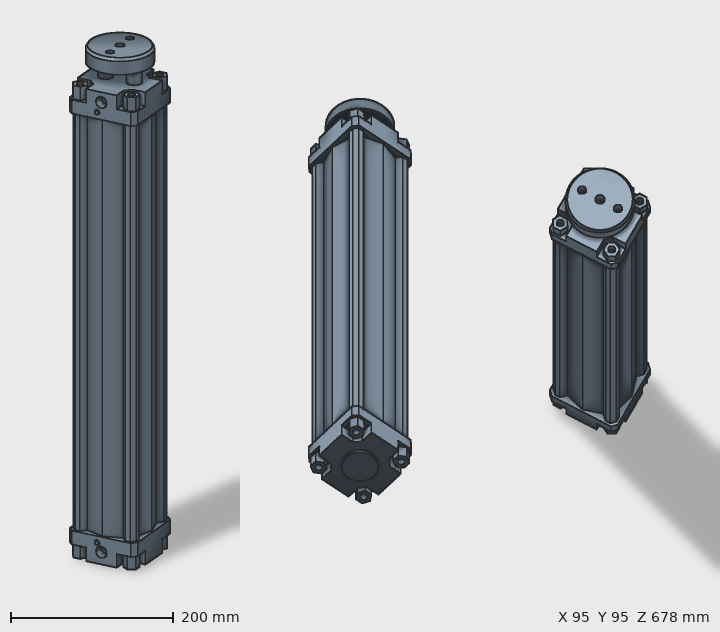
import cadquery as cq
import math

total_height = 678.0

plate_diameter = 85.0
plate_top_diameter = 80.0
plate_thickness = 22.0
plate_chamfer_height = 4.0
plate_center_hole_diameter = 11.5
plate_side_hole_diameter = 10.0
plate_side_hole_offset = 25.0
rod_diameter = 20.0
rod_spacing = 40.0
rod_length = 24.0

head_width = 95.0
head_height = 36.5
head_chamfer = 6.0
boss_diameter = 45.0
boss_height = 4.0

block_width = 43.0
pocket_depth = 18.0
pocket_inner_chamfer = 8.0
post_offset = 36.0
post_sides = 6
post_across_flats = 17.5
post_hole_diameter = 9.0
post_hole_depth = 13.5
drill_point_angle = 118.0

port_diameter = 15.0
port_depth = 13.5
top_port_inset = 13.5
bottom_port_inset = 16.0
screw_hole_diameter = 6.5
screw_hole_depth = 7.0
screw_hole_x = -6.0
screw_hole_inset = 28.0

tube_width = 88.0
ridge_width = 89.5
rib_chamfer = 5.5
rib_inner_edge = 32.0
groove_depth = 7.0

top_head_top = total_height - plate_thickness - rod_length
top_head_bottom = top_head_top - head_height
bottom_head_bottom = boss_height
bottom_head_top = bottom_head_bottom + head_height
head_half_width = head_width / 2
tube_half_width = tube_width / 2
quarter_turns = (0, 90, 180, 270)


def make_head_block(bottom):
    """Square head with chamfered corners, standing on the given level."""
    block = cq.Workplane("XY", origin=(0, 0, bottom)).rect(head_width, head_width).extrude(head_height)
    return block.edges("|Z").chamfer(head_chamfer)


def make_corner_pocket(bottom):
    """Corner pocket at -X -Y, with its inner corner cut off at 45 degrees."""
    inner = -block_width / 2
    outer = -head_half_width
    return (
        cq.Workplane("XY", origin=(0, 0, bottom))
        .moveTo(outer, outer)
        .lineTo(inner, outer)
        .lineTo(inner, inner - pocket_inner_chamfer)
        .lineTo(inner - pocket_inner_chamfer, inner)
        .lineTo(outer, inner)
        .close()
        .extrude(pocket_depth)
    )


def make_post(bottom):
    """Hexagonal post standing in the pocket at -X -Y."""
    across_corners = post_across_flats / math.cos(math.pi / post_sides)
    return (
        cq.Workplane("XY")
        .polygon(post_sides, across_corners)
        .extrude(pocket_depth)
        .translate((-post_offset, -post_offset, bottom))
    )


def make_post_hole(mouth, direction):
    """Drilled hole with a conical end; direction is +1 to drill upward and -1 downward."""
    radius = post_hole_diameter / 2
    point_height = radius / math.tan(math.radians(drill_point_angle / 2))
    return (
        cq.Workplane("XZ")
        .lineTo(radius, 0)
        .lineTo(radius, direction * post_hole_depth)
        .lineTo(0, direction * (post_hole_depth + point_height))
        .close()
        .revolve(360, (0, 0, 0), (0, 1, 0))
        .translate((-post_offset, -post_offset, mouth))
    )


def make_front_hole(diameter, depth, x, z):
    """Blind round hole going in from the -Y face of a head."""
    return (
        cq.Workplane("XZ", origin=(x, -head_half_width, z))
        .circle(diameter / 2)
        .extrude(-depth)
    )


def make_head(bottom, pocket_bottom, hole_mouth, hole_direction):
    """Head with four corner pockets, each holding a drilled hexagonal post."""
    head = make_head_block(bottom)
    pocket = make_corner_pocket(pocket_bottom)
    post = make_post(pocket_bottom)
    hole = make_post_hole(hole_mouth, hole_direction)
    for angle in quarter_turns:
        axis = ((0, 0, 0), (0, 0, 1), angle)
        head = head.cut(pocket.rotate(*axis))
        head = head.union(post.rotate(*axis))
        head = head.cut(hole.rotate(*axis))
    return head


def make_tube():
    """Solid profiled tube between the two heads."""
    groove_edge = rib_inner_edge - groove_depth
    groove_level = tube_half_width - groove_depth
    side = [
        (-tube_half_width + rib_chamfer, -tube_half_width),
        (-rib_inner_edge, -tube_half_width),
        (-groove_edge, -groove_level),
        (0, -ridge_width / 2),
        (groove_edge, -groove_level),
        (rib_inner_edge, -tube_half_width),
        (tube_half_width - rib_chamfer, -tube_half_width),
    ]
    outline = []
    for angle in quarter_turns:
        cosine = round(math.cos(math.radians(angle)))
        sine = round(math.sin(math.radians(angle)))
        outline += [(x * cosine - y * sine, x * sine + y * cosine) for x, y in side]
    tube = cq.Workplane("XY", origin=(0, 0, bottom_head_top)).polyline(outline).close()
    return tube.extrude(top_head_bottom - bottom_head_top)


def make_housing():
    """Tube, both heads and the round boss under the bottom head."""
    top_head = make_head(top_head_bottom, top_head_top - pocket_depth, top_head_top, -1)
    bottom_head = make_head(bottom_head_bottom, bottom_head_bottom, bottom_head_bottom, 1)
    boss = cq.Workplane("XY").circle(boss_diameter / 2).extrude(boss_height)
    body = make_tube().union(top_head).union(bottom_head).union(boss)
    port_levels = (top_head_top - top_port_inset, bottom_head_bottom + bottom_port_inset)
    for level in port_levels:
        body = body.cut(make_front_hole(port_diameter, port_depth, 0, level))
    screw_levels = (top_head_top - screw_hole_inset, bottom_head_bottom + screw_hole_inset)
    for level in screw_levels:
        body = body.cut(make_front_hole(screw_hole_diameter, screw_hole_depth, screw_hole_x, level))
    return body


def make_piston():
    """Chamfered end plate with three through holes, carried by two rods."""
    plate_bottom = total_height - plate_thickness
    plate = (
        cq.Workplane("XZ")
        .moveTo(0, plate_bottom)
        .lineTo(plate_diameter / 2, plate_bottom)
        .lineTo(plate_diameter / 2, total_height - plate_chamfer_height)
        .lineTo(plate_top_diameter / 2, total_height)
        .lineTo(0, total_height)
        .close()
        .revolve(360, (0, 0, 0), (0, 1, 0))
    )
    holes = (
        cq.Workplane("XY", origin=(0, 0, plate_bottom))
        .circle(plate_center_hole_diameter / 2)
        .extrude(plate_thickness)
        .pushPoints([(0, -plate_side_hole_offset), (0, plate_side_hole_offset)])
        .circle(plate_side_hole_diameter / 2)
        .extrude(plate_thickness)
    )
    rods = (
        cq.Workplane("XY", origin=(0, 0, top_head_top))
        .pushPoints([(-rod_spacing / 2, 0), (rod_spacing / 2, 0)])
        .circle(rod_diameter / 2)
        .extrude(rod_length)
    )
    return plate.cut(holes).union(rods)


housing = make_housing()
piston = make_piston()

result = cq.Compound.makeCompound([housing.val(), piston.val()])